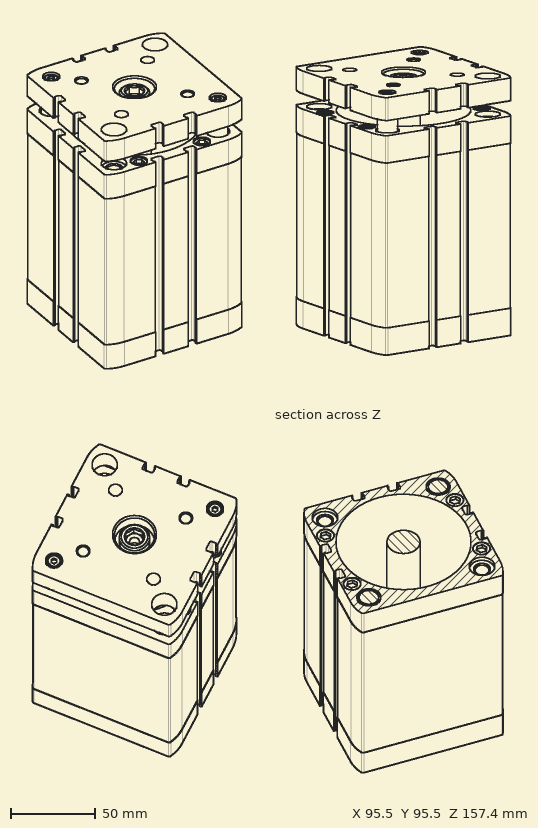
import cadquery as cq
import math

WIDTH = 95.5
TOTAL_HEIGHT = 157.4
PLATE_THICKNESS = 14.0
PLATE_GAP = 9.3
CAP_HEIGHT = 16.7
TUBE_INSET = 0.24

CORNER_START = 36.0
CORNER_RADIUS = 24.0
CORNER_END = 45.2
CORNER_BLEND_X = 43.9

SLOT_OFFSET = 11.3
SLOT_MOUTH = 5.7
SLOT_CAVITY = 7.0
SLOT_LIP = 1.3
SLOT_DEPTH = 5.0
SLOT_FILLET = 1.1

ROD_DIAMETER = 20.0
ROD_ACROSS_FLATS = 17.0
ROD_FLAT_BOTTOM = 2.7
GUIDE_DIAMETER = 12.0
CORNER_OFFSET = 36.0

RECESS_DIAMETER = 24.0
RECESS_DEPTH = 9.5
RECESS_CHAMFER = 1.1
BOSS_DIAMETER = 18.0
BOSS_TOP_DEPTH = 2.5
BOSS_CHAMFER = 1.1
SOCKET_ACROSS_FLATS = 10.0
SOCKET_RIM_DIAMETER = 12.0
SOCKET_DEPTH = 5.0
PILOT_DIAMETER = 6.0
PILOT_DEPTH = 6.3
DRILL_POINT_ANGLE = 120

PLATE_HOLE_OFFSET = 23.0
PIN_HOLE_DIAMETER = 8.0
THREAD_DIAMETER = 6.6
ACCESS_DIAMETER = 15.0

SCREW_HOLE_DIAMETER = 10.0
SCREW_HOLE_DEPTH = 1.9
SCREW_HEAD_DIAMETER = 8.5
SCREW_HEAD_DEPTH = 0.6
SCREW_HEAD_CHAMFER = 0.6
SCREW_SOCKET_DIAMETER = 3.8
SCREW_SOCKET_DEPTH = 1.5

BORE_DIAMETER = 80.0
MOUNT_SEAT_DEPTH = 3.1
MOUNT_HOLE_DIAMETER = 8.3
MOUNT_HOLE_CHAMFER = 0.8
WIPER_DIAMETER = 14.0
WIPER_DEPTH = 1.5
COVER_SCREW_X = 41.2
COVER_SCREW_Y = 21.9
COVER_SCREW_DIAMETER = 10.0
COVER_SCREW_DEPTH = 1.0
COVER_SOCKET_DIAMETER = 6.6
COVER_SOCKET_DEPTH = 2.4

HALF = WIDTH / 2
PLATE_BOTTOM = TOTAL_HEIGHT - PLATE_THICKNESS
HOUSING_TOP = PLATE_BOTTOM - PLATE_GAP
ROD_END = CAP_HEIGHT
RECESS_FLOOR = TOTAL_HEIGHT - RECESS_DEPTH
BOSS_TOP = TOTAL_HEIGHT - BOSS_TOP_DEPTH
GUIDE_POINTS = [(CORNER_OFFSET, CORNER_OFFSET), (-CORNER_OFFSET, -CORNER_OFFSET)]
MOUNT_POINTS = [(-CORNER_OFFSET, CORNER_OFFSET), (CORNER_OFFSET, -CORNER_OFFSET)]
THREAD_POINTS = [(PLATE_HOLE_OFFSET, PLATE_HOLE_OFFSET), (-PLATE_HOLE_OFFSET, -PLATE_HOLE_OFFSET)]
PIN_POINTS = [(-PLATE_HOLE_OFFSET, PLATE_HOLE_OFFSET), (PLATE_HOLE_OFFSET, -PLATE_HOLE_OFFSET)]
COVER_SCREW_POINTS = [(i * COVER_SCREW_X, j * COVER_SCREW_Y) for i in (-1, 1) for j in (-1, 1)]


def cylinder(diameter, bottom, top, points=((0, 0),)):
    start = cq.Workplane("XY", origin=(0, 0, bottom))
    return start.pushPoints(points).circle(diameter / 2).extrude(top - bottom)


def cone(low_diameter, high_diameter, bottom, top, points=((0, 0),)):
    shape = cq.Solid.makeCone(low_diameter / 2, high_diameter / 2, top - bottom)
    start = cq.Workplane("XY", origin=(0, 0, bottom)).pushPoints(points)
    return start.eachpoint(lambda place: shape.moved(place))


def countersink(body, hole_diameter, rim_diameter, top, points=((0, 0),)):
    """45-degree chamfer on the upper rim of each hole."""
    depth = (rim_diameter - hole_diameter) / 2
    return body.cut(cone(hole_diameter, rim_diameter, top - depth, top, points))


def hex_sockets(corner_diameter, depth, top, points=((0, 0),)):
    start = cq.Workplane("XY", origin=(0, 0, top)).pushPoints(points)
    return start.polygon(6, corner_diameter).extrude(-depth)


def outline_block(bottom, top, inset=0.0):
    """Prism on the rounded square outline, or on a parallel outline that lies inside it."""
    side = HALF - inset
    radius = CORNER_RADIUS - inset
    arc_angle = math.acos(1 - (HALF - CORNER_END) / CORNER_RADIUS)

    def arc_point(angle):
        return (side - radius * (1 - math.cos(angle)), CORNER_START + radius * math.sin(angle))

    quarter = (
        cq.Workplane("XY", origin=(0, 0, bottom))
        .lineTo(side, 0)
        .lineTo(side, CORNER_START)
        .threePointArc(arc_point(arc_angle / 2), arc_point(arc_angle))
        .tangentArcPoint((CORNER_BLEND_X, side), relative=False)
        .lineTo(0, side)
        .close()
        .extrude(top - bottom)
    )
    half = quarter.union(quarter.mirror("XZ"))
    return half.union(half.mirror("YZ")).clean()


def cut_slots(block, bottom, top):
    """T-slots along Z: two in each X side and two in the -Y side."""
    lip = cq.Workplane("XY").box(SLOT_MOUTH, 2 * SLOT_LIP, top - bottom, centered=(True, True, False))
    cavity = cq.Workplane("XY").box(
        SLOT_CAVITY, SLOT_DEPTH - SLOT_LIP, top - bottom, centered=(True, False, False)
    ).edges("|Z and >Y").fillet(SLOT_FILLET).translate((0, SLOT_LIP, 0))
    slot = lip.union(cavity)
    for side_angle in (-90, 0, 90):
        for offset in (-SLOT_OFFSET, SLOT_OFFSET):
            placed = slot.translate((offset, -HALF, bottom)).rotate((0, 0, 0), (0, 0, 1), side_angle)
            block = block.cut(placed)
    return block


def make_piston_rod():
    """Round rod with a flat on each Y side just below the plate."""
    rod = cylinder(ROD_DIAMETER, ROD_END, RECESS_FLOOR)
    flat = ROD_ACROSS_FLATS / 2
    flat_bottom = HOUSING_TOP + ROD_FLAT_BOTTOM
    outside = ROD_DIAMETER / 2
    cutter = (
        cq.Workplane("YZ", origin=(-outside, 0, 0))
        .moveTo(flat, PLATE_BOTTOM)
        .lineTo(flat, flat_bottom)
        .lineTo(outside, flat_bottom - (outside - flat))
        .lineTo(outside, PLATE_BOTTOM)
        .close()
        .extrude(ROD_DIAMETER)
    )
    return rod.cut(cutter).cut(cutter.mirror("XZ"))


def cut_centre_recess(plate):
    plate = plate.cut(cylinder(RECESS_DIAMETER, RECESS_FLOOR, TOTAL_HEIGHT))
    return countersink(plate, RECESS_DIAMETER, RECESS_DIAMETER + 2 * RECESS_CHAMFER, TOTAL_HEIGHT)


def cut_rod_socket(body):
    """Hexagon socket in the rod end, with a drilled hole below it."""
    point_slope = 1 / (2 * math.tan(math.radians(DRILL_POINT_ANGLE / 2)))
    socket_bottom = BOSS_TOP - SOCKET_DEPTH
    pilot_top = socket_bottom - (SOCKET_ACROSS_FLATS - PILOT_DIAMETER) * point_slope
    pilot_bottom = pilot_top - PILOT_DEPTH
    socket_corners = SOCKET_ACROSS_FLATS / math.cos(math.pi / 6)
    body = countersink(body, SOCKET_ACROSS_FLATS, SOCKET_RIM_DIAMETER, BOSS_TOP)
    body = body.cut(hex_sockets(socket_corners, SOCKET_DEPTH, BOSS_TOP))
    body = body.cut(cone(PILOT_DIAMETER, SOCKET_ACROSS_FLATS, pilot_top, socket_bottom))
    body = body.cut(cylinder(PILOT_DIAMETER, pilot_bottom, pilot_top))
    return body.cut(cone(0, PILOT_DIAMETER, pilot_bottom - PILOT_DIAMETER * point_slope, pilot_bottom))


def cut_plate_holes(plate):
    plate = plate.cut(cylinder(ACCESS_DIAMETER, PLATE_BOTTOM, TOTAL_HEIGHT, MOUNT_POINTS))
    plate = plate.cut(cylinder(PIN_HOLE_DIAMETER, PLATE_BOTTOM, TOTAL_HEIGHT, PIN_POINTS))
    plate = plate.cut(cylinder(THREAD_DIAMETER, PLATE_BOTTOM, TOTAL_HEIGHT, THREAD_POINTS))
    return countersink(plate, THREAD_DIAMETER, PIN_HOLE_DIAMETER, TOTAL_HEIGHT, THREAD_POINTS)


def add_guide_screws(plate):
    """Chamfered screw head standing in a shallow hole above each guide rod."""
    hole_floor = TOTAL_HEIGHT - SCREW_HOLE_DEPTH
    head_top = TOTAL_HEIGHT - SCREW_HEAD_DEPTH
    heads = cylinder(SCREW_HEAD_DIAMETER, hole_floor, head_top, GUIDE_POINTS)
    heads = heads.faces(">Z").edges().chamfer(SCREW_HEAD_CHAMFER)
    plate = plate.cut(cylinder(SCREW_HOLE_DIAMETER, hole_floor, TOTAL_HEIGHT, GUIDE_POINTS))
    plate = plate.union(heads)
    return plate.cut(hex_sockets(SCREW_SOCKET_DIAMETER, SCREW_SOCKET_DEPTH, head_top, GUIDE_POINTS))


def make_yoke():
    """End plate in one piece with the piston rod and the guide rods."""
    plate = outline_block(PLATE_BOTTOM, TOTAL_HEIGHT)
    plate = cut_slots(plate, PLATE_BOTTOM, TOTAL_HEIGHT)
    plate = cut_centre_recess(plate)
    plate = cut_plate_holes(plate)
    boss = cylinder(BOSS_DIAMETER, RECESS_FLOOR, BOSS_TOP).faces(">Z").chamfer(BOSS_CHAMFER)
    guides = cylinder(GUIDE_DIAMETER, ROD_END, PLATE_BOTTOM, GUIDE_POINTS)
    yoke = plate.union(make_piston_rod()).union(boss).union(guides)
    yoke = cut_rod_socket(yoke)
    return add_guide_screws(yoke)


def cut_guide_holes(body):
    body = body.cut(cylinder(GUIDE_DIAMETER, ROD_END, HOUSING_TOP, GUIDE_POINTS))
    return body.cut(cylinder(WIPER_DIAMETER, HOUSING_TOP - WIPER_DEPTH, HOUSING_TOP, GUIDE_POINTS))


def cut_mounting_holes(body):
    seat = HOUSING_TOP - MOUNT_SEAT_DEPTH
    rim_diameter = MOUNT_HOLE_DIAMETER + 2 * MOUNT_HOLE_CHAMFER
    body = body.cut(cylinder(ACCESS_DIAMETER, seat, HOUSING_TOP, MOUNT_POINTS))
    body = body.cut(cylinder(MOUNT_HOLE_DIAMETER, 0, seat, MOUNT_POINTS))
    return countersink(body, MOUNT_HOLE_DIAMETER, rim_diameter, seat, MOUNT_POINTS)


def cut_cover_screws(body):
    """Sunk screw heads with hexagon sockets in the upper cap."""
    head_top = HOUSING_TOP - COVER_SCREW_DEPTH
    body = body.cut(cylinder(COVER_SCREW_DIAMETER, head_top, HOUSING_TOP, COVER_SCREW_POINTS))
    return body.cut(hex_sockets(COVER_SOCKET_DIAMETER, COVER_SOCKET_DEPTH, head_top, COVER_SCREW_POINTS))


def make_housing():
    """Tube between two slightly larger end caps."""
    tube_top = HOUSING_TOP - CAP_HEIGHT
    lower_cap = outline_block(0, CAP_HEIGHT)
    tube = outline_block(CAP_HEIGHT, tube_top, TUBE_INSET)
    upper_cap = outline_block(tube_top, HOUSING_TOP)
    body = lower_cap.union(tube).union(upper_cap)
    body = cut_slots(body, 0, HOUSING_TOP)
    body = body.cut(cylinder(BORE_DIAMETER, ROD_END, HOUSING_TOP))
    body = cut_guide_holes(body)
    body = cut_mounting_holes(body)
    return cut_cover_screws(body)


yoke = make_yoke()
housing = make_housing()
result = cq.Compound.makeCompound([housing.val(), yoke.val()])